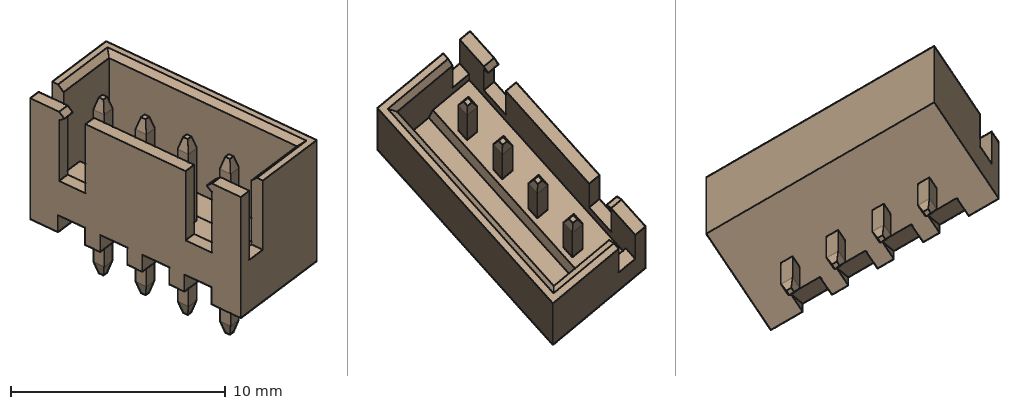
import cadquery as cq


length = 12.5
depth = 5.7
height = 7.0
long_wall = 0.64
end_wall = 0.68
front_floor = 2.0
rear_floor = 1.3
step_top_y = 2.88
step_foot_y = 3.12

bevel_side = 0.32
bevel_back = 0.3
bevel_height = 0.3

slot_bottom = 3.0
end_slot_back_y = 1.65
front_slot_width = 1.56
tooth_reach = 0.31
tooth_tip_drop = 0.26
tooth_height = 0.5

notch_width = 1.6
notch_height = 0.99
notch_depth = 1.06
notch_shift = -0.05

pin_count = 4
pitch = 2.5
pin_side = 0.64
pin_tip_side = 0.28
pin_y = 2.3
pin_bottom = -3.3
pin_top = 6.88
lower_tip = 0.7
upper_tip = 0.68

inner_half = length / 2 - end_wall
inner_back = depth - long_wall
pin_places = [(i - (pin_count - 1) / 2) * pitch for i in range(pin_count)]
front_slot_x = pin_places[-1]


def block(x0, x1, y0, y1, z0, z1):
    """Box given by its limits along each axis."""
    return cq.Workplane("XY").box(x1 - x0, y1 - y0, z1 - z0, centered=False).translate((x0, y0, z0))


def side_profile(points, x0, x1):
    """Outline in (Y, Z) extruded along X from x0 to x1."""
    return cq.Workplane("YZ").polyline(points).close().extrude(x1 - x0).translate((x0, 0, 0))


def cavity():
    """Pocket whose floor steps down behind the pins."""
    return side_profile(
        [
            (long_wall, height),
            (long_wall, front_floor),
            (step_top_y, front_floor),
            (step_foot_y, rear_floor),
            (inner_back, rear_floor),
            (inner_back, height),
        ],
        -inner_half,
        inner_half,
    )


def mouth_bevel():
    """Slopes along the back and end walls; the front wall stays square."""
    bevel_base = height - bevel_height
    back = side_profile(
        [
            (inner_back, bevel_base),
            (inner_back + bevel_back, height),
            (long_wall, height),
            (long_wall, bevel_base),
        ],
        -inner_half - bevel_side,
        inner_half + bevel_side,
    )
    ends = (
        cq.Workplane("XZ")
        .polyline(
            [
                (-inner_half, bevel_base),
                (-inner_half - bevel_side, height),
                (inner_half + bevel_side, height),
                (inner_half, bevel_base),
            ]
        )
        .close()
        .extrude(-depth)
    )
    return back.intersect(ends)


def front_slot(side):
    """Slot through the front wall, with a pointed tooth on its outer edge; side is +1 or -1."""
    inner_x = front_slot_x - front_slot_width / 2
    outer_x = front_slot_x + front_slot_width / 2
    outline = [
        (inner_x, slot_bottom),
        (outer_x, slot_bottom),
        (outer_x, height - tooth_height),
        (outer_x - tooth_reach, height - tooth_tip_drop),
        (outer_x, height),
        (inner_x, height),
    ]
    mirrored = [(side * x, z) for x, z in outline]
    return cq.Workplane("XZ").polyline(mirrored).close().extrude(-long_wall)


def notch(pin_x):
    """Wedge cut under the front edge, with its roof sloping down to the underside."""
    middle = pin_x + notch_shift
    return side_profile(
        [(0, 0), (0, notch_height), (notch_depth, 0)],
        middle - notch_width / 2,
        middle + notch_width / 2,
    )


def pin_tip(base_z, tip_z):
    """Tapered square end between the pin's full size at base_z and its tip at tip_z."""
    return (
        cq.Workplane("XY", origin=(0, 0, base_z))
        .rect(pin_side, pin_side)
        .workplane(offset=tip_z - base_z)
        .rect(pin_tip_side, pin_tip_side)
        .loft(ruled=True)
    )


def pin(pin_x):
    """Square pin with tapered ends, passing through the floor."""
    half = pin_side / 2
    shank_bottom = pin_bottom + lower_tip
    shank_top = pin_top - upper_tip
    shank = block(-half, half, -half, half, shank_bottom, shank_top)
    whole = shank.union(pin_tip(shank_bottom, pin_bottom)).union(pin_tip(shank_top, pin_top))
    return whole.translate((pin_x, pin_y, 0))


housing = block(-length / 2, length / 2, 0, depth, 0, height)
housing = housing.cut(cavity()).cut(mouth_bevel())

housing = housing.cut(
    block(-length / 2, length / 2, long_wall, end_slot_back_y, slot_bottom, height)
)

for side in (-1, 1):
    housing = housing.cut(front_slot(side))

for pin_x in pin_places:
    housing = housing.cut(notch(pin_x))

result = housing
for pin_x in pin_places:
    result = result.union(pin(pin_x))